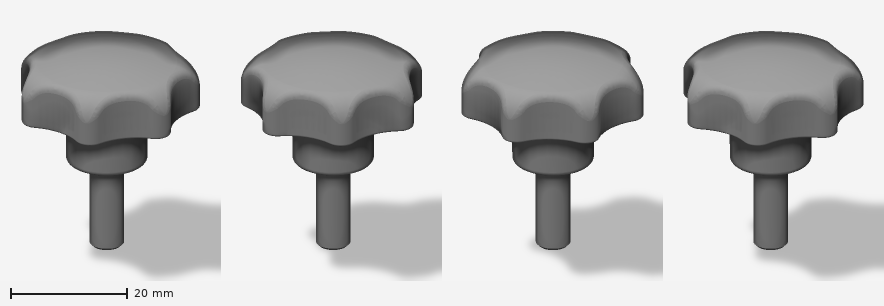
import cadquery as cq
import math

total_height = 36.0
stud_length = 16.02
hub_length = 9.97
head_bottom = stud_length + hub_length

stud_radius = 3.0
stud_chamfer = 0.5

hub_bottom_radius = 7.02
hub_top_radius = 7.1
hub_fillet = 0.85

lobe_count = 7
head_radius = 16.02
tip_clearance = 0.05
disc_radius = head_radius + tip_clearance
valley_radius = 13.3
lobe_tip_radius = 2.6
dome_radius = 57.25
shoulder_radius = 5.0
rim_fillet = 1.4
bottom_fillet = 0.45


def polar(radius, angle):
    return (radius * math.cos(angle), radius * math.sin(angle))


def make_domed_disc():
    """Disc whose spherical dome runs through a tangent shoulder arc into its vertical side."""
    dome_center_z = total_height - dome_radius
    shoulder_x = disc_radius - shoulder_radius
    rise = math.sqrt((dome_radius - shoulder_radius) ** 2 - shoulder_x**2)
    shoulder_z = dome_center_z + rise
    dome_angle = math.atan2(rise, shoulder_x)

    def arc_point(center_x, center_z, radius, angle):
        x, z = polar(radius, angle)
        return (center_x + x, center_z + z)

    dome_middle = arc_point(0, dome_center_z, dome_radius, (dome_angle + math.pi / 2) / 2)
    dome_edge = arc_point(0, dome_center_z, dome_radius, dome_angle)
    shoulder_middle = arc_point(shoulder_x, shoulder_z, shoulder_radius, dome_angle / 2)
    return (
        cq.Workplane("XZ")
        .moveTo(0, head_bottom)
        .lineTo(disc_radius, head_bottom)
        .lineTo(disc_radius, shoulder_z)
        .threePointArc(shoulder_middle, dome_edge)
        .threePointArc(dome_middle, (0, total_height))
        .close()
        .revolve(360, (0, 0, 0), (0, 1, 0))
        .rotate((0, 0, 0), (0, 0, 1), 180)
    )


def make_lobed_prism():
    """Prism of convex lobe tips joined by tangent concave scallops; the first lobe points to -X."""
    half_pitch = math.pi / lobe_count
    tip_center = head_radius - lobe_tip_radius
    cosine = math.cos(half_pitch)
    gap_squared = tip_center**2 + valley_radius**2 - 2 * tip_center * valley_radius * cosine
    reach = lobe_tip_radius + tip_center * cosine - valley_radius
    scallop_radius = (gap_squared - lobe_tip_radius**2) / (2 * reach)
    scallop_center = valley_radius + scallop_radius
    share = lobe_tip_radius / (lobe_tip_radius + scallop_radius)
    scallop_x, scallop_y = polar(scallop_center, half_pitch)
    tangent_x = tip_center + share * (scallop_x - tip_center)
    tangent_y = share * scallop_y
    tangent_distance = math.hypot(tangent_x, tangent_y)
    tangent_angle = math.atan2(tangent_y, tangent_x)

    outline = cq.Workplane("XY", origin=(0, 0, head_bottom))
    outline = outline.moveTo(*polar(tangent_distance, math.pi - tangent_angle))
    for i in range(lobe_count):
        lobe_angle = math.pi + 2 * half_pitch * i
        valley_angle = lobe_angle + half_pitch
        next_angle = lobe_angle + 2 * half_pitch
        outline = outline.threePointArc(
            polar(head_radius, lobe_angle), polar(tangent_distance, lobe_angle + tangent_angle)
        )
        outline = outline.threePointArc(
            polar(valley_radius, valley_angle), polar(tangent_distance, next_angle - tangent_angle)
        )
    return outline.close().extrude(total_height - head_bottom)


def make_head():
    """Lobed head with softened edges above and below the scallops."""
    head = make_domed_disc().intersect(make_lobed_prism())
    head = head.faces("<Z").edges().fillet(bottom_fillet)
    above_bottom = cq.selectors.BoxSelector(
        (-head_radius, -head_radius, head_bottom + 2 * bottom_fillet),
        (head_radius, head_radius, total_height),
    )
    return head.edges(above_bottom).edges("%BSPLINE").fillet(rim_fillet)


def make_hub():
    """Tapered hub with a rounded lower edge."""
    return (
        cq.Workplane("XY", origin=(0, 0, stud_length))
        .circle(hub_bottom_radius)
        .workplane(offset=hub_length)
        .circle(hub_top_radius)
        .loft()
        .faces("<Z")
        .edges()
        .fillet(hub_fillet)
    )


def make_knob():
    return make_head().union(make_hub())


def make_stud():
    """Stud that meets the flat underside of the hub."""
    return cq.Workplane("XY").circle(stud_radius).extrude(stud_length).faces("<Z").chamfer(stud_chamfer)


knob = make_knob()
stud = make_stud()
result = cq.Compound.makeCompound([knob.solids().val(), stud.val()])